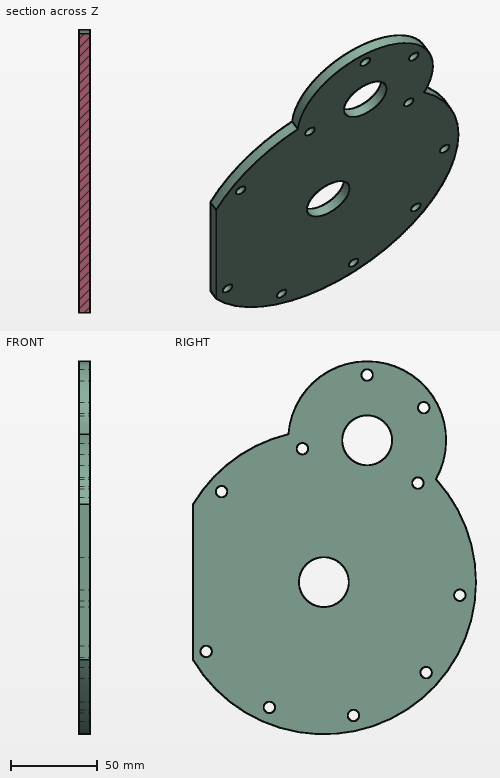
import cadquery as cq
import math

thickness = 6.5
height = 214.8
width = 163.0

large_radius = 87.6
small_radius = 45.5
small_center_y = 25.0
small_center_z = height - large_radius - small_radius
flat_y = large_radius - width

bore_diameter = 28.5
screw_diameter = 6.5

large_screw_radius = 78.6
large_screw_step = 36.0
large_screw_start = 138.5
large_screw_steps = [0, 2, 3, 4, 5, 6]
shoulder_screw_angle = 46.5
small_screw_radius = 37.5
small_screw_angles = [30.0, 90.0, 187.4]

large_center = (0.0, 0.0)
small_center = (small_center_y, small_center_z)


def disc(center, radius):
    return cq.Workplane("YZ").center(*center).circle(radius).extrude(thickness)


def polar_point(center, radius, angle):
    radians = math.radians(angle)
    return (center[0] + radius * math.cos(radians), center[1] + radius * math.sin(radians))


def drill(body, points, diameter):
    holes = cq.Workplane("YZ").pushPoints(points).circle(diameter / 2).extrude(thickness)
    return body.cut(holes)


plate = disc(large_center, large_radius).union(disc(small_center, small_radius))
trim = (
    cq.Workplane("YZ")
    .center(flat_y - large_radius, 0)
    .rect(2 * large_radius, 2 * large_radius)
    .extrude(thickness)
)
plate = plate.cut(trim)

plate = drill(plate, [large_center, small_center], bore_diameter)

large_screw_angles = [large_screw_start + large_screw_step * step for step in large_screw_steps]
large_screw_angles.append(shoulder_screw_angle)
screw_points = [polar_point(large_center, large_screw_radius, angle) for angle in large_screw_angles]
screw_points += [polar_point(small_center, small_screw_radius, angle) for angle in small_screw_angles]

result = drill(plate, screw_points, screw_diameter)